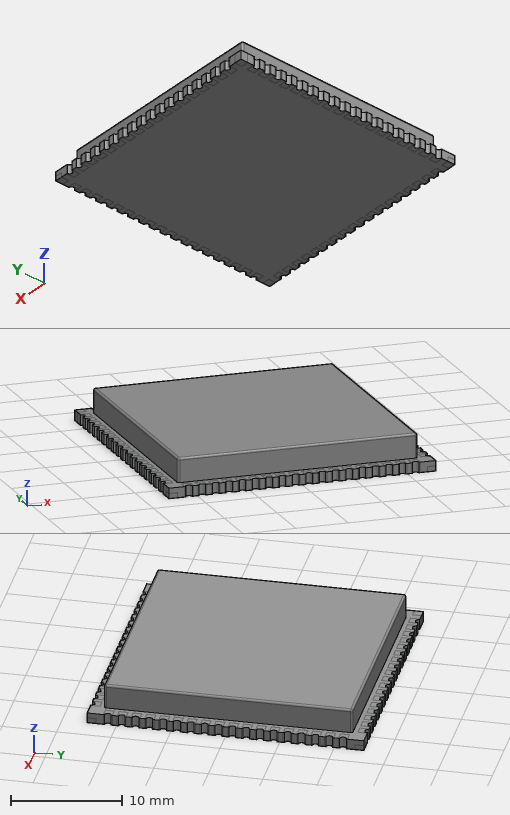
import cadquery as cq

BOARD_SIDE = 25.4
BOARD_HEIGHT = 1.0
HALF_SIDE = BOARD_SIDE / 2

TOTAL_HEIGHT = 3.3
LID_SIDE = 22.8
LID_HEIGHT = TOTAL_HEIGHT - BOARD_HEIGHT
LID_ROUND = 0.2

SIDE_COUNT = 4
PADS_PER_SIDE = 18
PAD_PITCH = 1.27
PAD_WIDTH = 0.81
PAD_DEPTH = 0.86
NOTCH_RADIUS = 0.3

CORNER_PAD_SIDE = 0.81
CORNER_PAD_HEIGHT = BOARD_HEIGHT / 2


def block(width, depth, height, x=0, y=0, z=0):
    """A box standing on height z, centred on (x, y)."""
    return cq.Workplane("XY").box(width, depth, height, centered=(True, True, False)).translate((x, y, z))


def on_all_sides(shape):
    """Copies of a shape turned onto each of the four sides, joined together."""
    copies = cq.Workplane("XY")
    for side in range(SIDE_COUNT):
        copies = copies.union(shape.rotate((0, 0, 0), (0, 0, 1), side * 360 / SIDE_COUNT))
    return copies


def pad_positions():
    """Middle of each pad where it meets the -Y edge of the board."""
    first_x = -PAD_PITCH * (PADS_PER_SIDE - 1) / 2
    return [(first_x + i * PAD_PITCH, -HALF_SIDE) for i in range(PADS_PER_SIDE)]


def edge_notches():
    """Half-round notches through the board edge, one at each pad."""
    notches = cq.Workplane("XY").pushPoints(pad_positions()).circle(NOTCH_RADIUS).extrude(BOARD_HEIGHT)
    return on_all_sides(notches)


def edge_pads():
    """Pads as tall as the board, each reaching inwards from the board edge."""
    pads = (
        cq.Workplane("XY")
        .pushPoints(pad_positions())
        .rect(PAD_WIDTH, 2 * PAD_DEPTH)
        .extrude(BOARD_HEIGHT)
        .intersect(block(BOARD_SIDE, BOARD_SIDE, BOARD_HEIGHT))
    )
    return on_all_sides(pads)


def corner_pads():
    """Square pads filling the four corners of the board."""
    offset = HALF_SIDE - CORNER_PAD_SIDE / 2
    pads = block(CORNER_PAD_SIDE, CORNER_PAD_SIDE, BOARD_HEIGHT, -offset, offset)
    for x, y in [(-offset, -offset), (offset, -offset), (offset, offset)]:
        pads = pads.union(block(CORNER_PAD_SIDE, CORNER_PAD_SIDE, CORNER_PAD_HEIGHT, x, y))
    return pads


def lid():
    """Lid with rounded upright and top edges."""
    return block(LID_SIDE, LID_SIDE, LID_HEIGHT, z=BOARD_HEIGHT).edges("|Z or >Z").fillet(LID_ROUND)


notches = edge_notches()
board = block(BOARD_SIDE, BOARD_SIDE, BOARD_HEIGHT).cut(notches).union(lid())
pads = edge_pads().cut(notches).union(corner_pads())

result = board.cut(pads, clean=False).union(pads, clean=False)